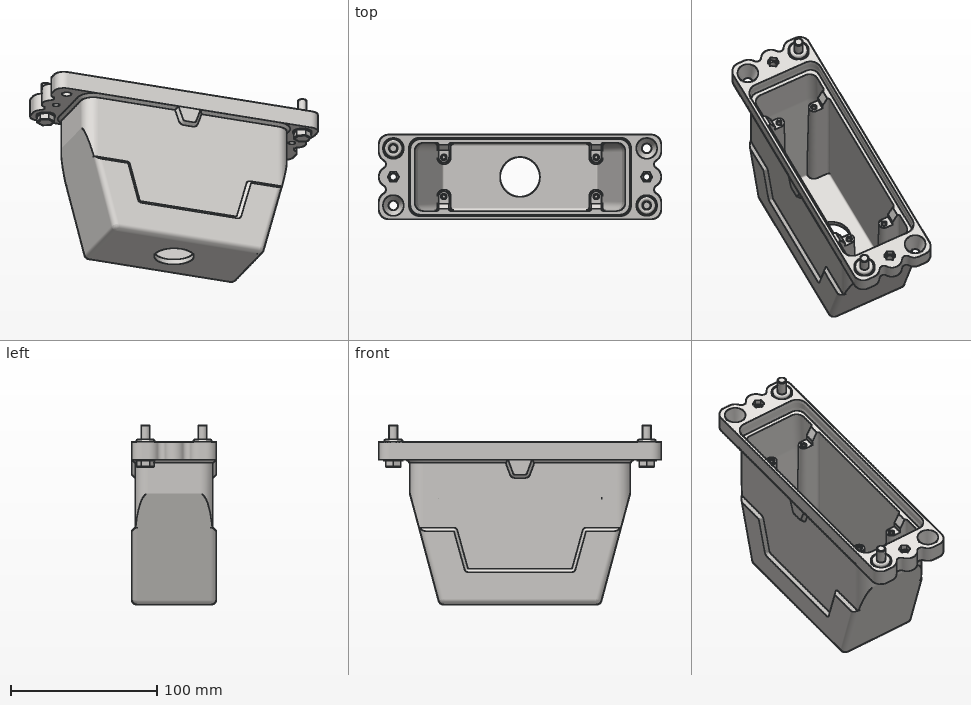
import math

import cadquery as cq

PLATE_LENGTH = 193.0
PLATE_WIDTH = 58.0
PLATE_THICK = 12.2
LOBE_RADIUS = 7.0
CORNER_LOBE_Y = 17.3
LOBE_TRIM_Y = 6.0

HOLE_X = 86.5
HOLE_Y = 19.5
CONE_DIAMETER = 14.2
SCREW_HOLE_DIAMETER = 6.4
NUT_ACROSS_CORNERS = 7.8
NUT_POCKET_DEPTH = 4.0
GUIDE_HOLE_DIAMETER = 4.6

STUD_DIAMETER = 6.0
STUD_TOP = 11.5
STUD_CHAMFER = 0.5
COLLAR_DIAMETER = 12.8
COLLAR_INNER_DIAMETER = 5.8
COLLAR_GROOVE_DEPTH = 1.0
LOWER_COLLAR_HEIGHT = 0.5
HEAD_ACROSS_FLATS = 10.4
HEAD_BOTTOM = -17.2
HEAD_CHAMFER = 0.5

BODY_HALF_LENGTH = 75.3
BODY_HALF_WIDTH = 26.6
BODY_CORNER_RADIUS = 9.0
BODY_BOTTOM = -111.2
END_SLOPE = math.tan(math.radians(15))
END_SLOPE_TOP = -35.2
BODY_EDGE_RADIUS = 4.0
FLARE = 2.2

BAND_HEIGHT = PLATE_WIDTH / 2 - BODY_HALF_WIDTH
BAND_TOP = -58.5
BAND_NOTCH_BOTTOM = -86.6
BAND_NOTCH_TOP_HALF = 43.3
BAND_NOTCH_BOTTOM_HALF = 35.5
BAND_CREST_RADIUS = 2.6
BAND_NOTCH_RADIUS = 0.6
BEVEL_ANGLE = 45

TAB_HEIGHT = 2.3
TAB_BOTTOM = -24.7
TAB_SIDE_SLOPE = math.tan(math.radians(20))
TAB_BOTTOM_HALF = 6.0
TAB_CORNER_RADIUS = 4.0

RECESS_HALF_LENGTH = 75.9
RECESS_HALF_WIDTH = 26.8
RECESS_CORNER_RADIUS = 7.5
RECESS_LEAN = 0.55
RECESS_BAND_HEIGHT = 2.5
LEDGE_Z = -9.5

FLOOR_Z = -107.5
CAVITY_TOP_HALF_LENGTH = 72.0
CAVITY_KINK_HALF_LENGTH = 69.8
CAVITY_KINK_Z = -39.5
CAVITY_FLOOR_HALF_LENGTH = 52.8
CAVITY_TOP_HALF_WIDTH = 23.3
CAVITY_FLOOR_HALF_WIDTH = 22.5
CAVITY_CORNER_RADIUS = 6.0
CAVITY_KINK_RADIUS = 10.0
KINK_EDGE_MARGIN = 1.0
CAVITY_FLOOR_RADIUS = 1.3
CABLE_HOLE_DIAMETER = 27.0

POST_X = 52.0
POST_Y = 13.4
POST_TOP = -19.5
POST_TOP_RADIUS = 3.4
POST_FOOT_RADIUS = 4.8
POST_WALL_RADIUS = 1.6
RAMP_FOOT_Y = 18.3
RAMP_FOOT_Z = -16.0
RAMP_TOP_Y = 21.9
POST_HOLE_DIAMETER = 2.6
POST_HOLE_MOUTH = 4.0
POST_HOLE_DEPTH = 12.0

HEX_SIDES = 6
SIDES = (1, -1)


def rounded_block(half_length, half_width, radius, top, bottom):
    return (
        cq.Workplane("XY").workplane(offset=bottom)
        .rect(2 * half_length, 2 * half_width).extrude(top - bottom)
        .edges("|Z").fillet(radius)
    )


def tapered_block(half_length, half_width, radius, top, depth, angle):
    """Rounded block that shrinks downwards."""
    sketch = cq.Sketch().rect(2 * half_length, 2 * half_width).vertices().fillet(radius)
    return (
        cq.Workplane("XY", origin=(0, 0, top)).placeSketch(sketch)
        .extrude(-depth, taper=angle)
    )


def cylinder(x, y, bottom, top, diameter):
    return cq.Workplane("XY", origin=(x, y, bottom)).circle(diameter / 2).extrude(top - bottom)


def cone(x, y, top, depth, top_diameter, bottom_diameter):
    solid = cq.Solid.makeCone(bottom_diameter / 2, top_diameter / 2, depth, cq.Vector(x, y, top - depth))
    return cq.Workplane(obj=solid)


def side_profile(points, half_width):
    """Prism of an XZ outline, centred on Y = 0."""
    return cq.Workplane("XZ").polyline(points).close().extrude(half_width, both=True)


def mirrored_outline(right_points):
    """Closed outline made of right-hand points and their mirror images."""
    return right_points + [(-u, v) for u, v in reversed(right_points)]


def make_plate():
    half_length = PLATE_LENGTH / 2
    half_width = PLATE_WIDTH / 2
    plate = rounded_block(half_length, half_width, LOBE_RADIUS, 0, -PLATE_THICK)

    lobe_x = half_length - LOBE_RADIUS
    notch_y = CORNER_LOBE_Y / 2
    trim_dx = math.sqrt(LOBE_RADIUS ** 2 - LOBE_TRIM_Y ** 2)
    stretch = notch_y / LOBE_TRIM_Y
    notch_x = lobe_x + trim_dx * stretch
    notch_radius = LOBE_RADIUS * (stretch - 1)
    corner_trim_y = CORNER_LOBE_Y - LOBE_TRIM_Y
    trim_x = lobe_x + trim_dx
    half_angle = math.asin(LOBE_TRIM_Y / LOBE_RADIUS) / 2
    lobe_mid_x = lobe_x + LOBE_RADIUS * math.cos(half_angle)
    lobe_mid_y = LOBE_RADIUS * math.sin(half_angle)
    notch = (
        cq.Workplane("XY")
        .moveTo(half_length, 0)
        .threePointArc((lobe_mid_x, lobe_mid_y), (trim_x, LOBE_TRIM_Y))
        .threePointArc((notch_x - notch_radius, notch_y), (trim_x, corner_trim_y))
        .threePointArc((lobe_mid_x, CORNER_LOBE_Y - lobe_mid_y), (half_length, CORNER_LOBE_Y))
        .close().extrude(-PLATE_THICK)
    )
    for upper_notch in (notch, notch.mirror("XZ")):
        plate = plate.cut(upper_notch).cut(upper_notch.mirror("YZ"))
    return plate


def end_half_length(z):
    return BODY_HALF_LENGTH - (END_SLOPE_TOP - z) * END_SLOPE


def make_upper_body():
    outline = mirrored_outline([
        (BODY_HALF_LENGTH, 0),
        (BODY_HALF_LENGTH, END_SLOPE_TOP),
        (end_half_length(BAND_TOP), BAND_TOP),
    ])
    block = rounded_block(
        BODY_HALF_LENGTH, BODY_HALF_WIDTH, BODY_CORNER_RADIUS, -PLATE_THICK, BAND_TOP
    )
    flare = tapered_block(
        BODY_HALF_LENGTH + FLARE, BODY_HALF_WIDTH + FLARE, BODY_CORNER_RADIUS + FLARE,
        -PLATE_THICK, FLARE, BEVEL_ANGLE
    )
    return block.intersect(side_profile(outline, BODY_HALF_WIDTH)).union(flare)


def make_lower_body():
    outline = mirrored_outline([
        (end_half_length(END_SLOPE_TOP), END_SLOPE_TOP),
        (end_half_length(BODY_BOTTOM), BODY_BOTTOM),
    ])
    lower = (
        side_profile(outline, PLATE_WIDTH / 2)
        .edges("not(|Y or #Z)").fillet(BODY_EDGE_RADIUS)
        .faces("<Z").edges().fillet(BODY_EDGE_RADIUS)
    )
    outer = PLATE_LENGTH / 2
    clearing_outline = mirrored_outline([
        (outer, 0),
        (outer, BAND_TOP),
        (BAND_NOTCH_TOP_HALF, BAND_TOP),
        (BAND_NOTCH_BOTTOM_HALF, BAND_NOTCH_BOTTOM),
    ])
    sketch = cq.Sketch().polygon(clearing_outline + clearing_outline[:1])
    corner_radii = (
        (BAND_NOTCH_TOP_HALF, BAND_TOP, BAND_CREST_RADIUS),
        (BAND_NOTCH_BOTTOM_HALF, BAND_NOTCH_BOTTOM, BAND_NOTCH_RADIUS),
    )
    for x, z, radius in corner_radii:
        for side in SIDES:
            corner = cq.selectors.NearestToPointSelector((side * x, z, 0))
            sketch = sketch.reset().vertices(corner).fillet(radius)
    clearing = (
        cq.Workplane("XZ", origin=(0, -BODY_HALF_WIDTH, 0))
        .placeSketch(sketch.reset()).extrude(BAND_HEIGHT, taper=-BEVEL_ANGLE)
    )
    above_band = side_profile(mirrored_outline([(outer, 0), (outer, BAND_TOP)]), BODY_HALF_WIDTH)
    return lower.cut(clearing).cut(clearing.mirror("XZ")).cut(above_band)


def make_tab():
    top = -PLATE_THICK / 2
    top_half = TAB_BOTTOM_HALF + (top - TAB_BOTTOM) * TAB_SIDE_SLOPE
    outline = mirrored_outline([(top_half, top), (TAB_BOTTOM_HALF, TAB_BOTTOM)])
    sketch = cq.Sketch().polygon(outline + outline[:1]).vertices("<Y").fillet(TAB_CORNER_RADIUS)
    return (
        cq.Workplane("XZ", origin=(0, -BODY_HALF_WIDTH, 0))
        .placeSketch(sketch).extrude(TAB_HEIGHT, taper=BEVEL_ANGLE)
    )


def make_recess():
    """Mouth recess whose wall leans inwards, runs straight, then leans inwards again."""
    lean = math.degrees(math.atan2(RECESS_LEAN, RECESS_BAND_HEIGHT))
    band_bottom = -RECESS_BAND_HEIGHT
    foot_top = LEDGE_Z + RECESS_BAND_HEIGHT
    half_length = RECESS_HALF_LENGTH - RECESS_LEAN
    half_width = RECESS_HALF_WIDTH - RECESS_LEAN
    radius = RECESS_CORNER_RADIUS - RECESS_LEAN
    mouth = tapered_block(
        RECESS_HALF_LENGTH, RECESS_HALF_WIDTH, RECESS_CORNER_RADIUS, 0, RECESS_BAND_HEIGHT, lean
    )
    middle = rounded_block(half_length, half_width, radius, band_bottom, foot_top)
    foot = tapered_block(half_length, half_width, radius, foot_top, RECESS_BAND_HEIGHT, lean)
    return mouth.union(middle).union(foot)


def make_cavity():
    length_outline = mirrored_outline([
        (CAVITY_TOP_HALF_LENGTH, LEDGE_Z),
        (CAVITY_KINK_HALF_LENGTH, CAVITY_KINK_Z),
        (CAVITY_FLOOR_HALF_LENGTH, FLOOR_Z),
    ])
    width_outline = mirrored_outline([
        (CAVITY_TOP_HALF_WIDTH, LEDGE_Z),
        (CAVITY_FLOOR_HALF_WIDTH, FLOOR_Z),
    ])
    width_prism = (
        cq.Workplane("YZ").polyline(width_outline).close()
        .extrude(PLATE_LENGTH / 2, both=True)
    )
    cavity = side_profile(length_outline, CAVITY_TOP_HALF_WIDTH).intersect(width_prism)
    kink_edges = cq.selectors.BoxSelector(
        (-PLATE_LENGTH, -PLATE_WIDTH, CAVITY_KINK_Z - KINK_EDGE_MARGIN),
        (PLATE_LENGTH, PLATE_WIDTH, CAVITY_KINK_Z + KINK_EDGE_MARGIN),
    )
    cavity = cavity.edges(kink_edges).fillet(CAVITY_KINK_RADIUS)
    cavity = cavity.edges("not(#Z or |Y)").fillet(CAVITY_CORNER_RADIUS)
    return cavity.faces("<Z").edges().fillet(CAVITY_FLOOR_RADIUS)


def post_section(workplane, radius, wall_y):
    """Outline of a round-nosed post whose flanks flare into the wall at wall_y."""
    flare_x = radius + POST_WALL_RADIUS
    flare_y = wall_y - POST_WALL_RADIUS
    sag = POST_WALL_RADIUS * (1 - math.sqrt(0.5))
    return (
        workplane.moveTo(flare_x, BODY_HALF_WIDTH)
        .lineTo(flare_x, wall_y)
        .threePointArc((radius + sag, wall_y - sag), (radius, flare_y))
        .lineTo(radius, POST_Y)
        .threePointArc((0, POST_Y - radius), (-radius, POST_Y))
        .lineTo(-radius, flare_y)
        .threePointArc((-radius - sag, wall_y - sag), (-flare_x, wall_y))
        .lineTo(-flare_x, BODY_HALF_WIDTH)
        .close()
    )


def make_post():
    """Insert post at +X, +Y, joined to the long wall by a ramped web."""
    foot = post_section(
        cq.Workplane("XY", origin=(POST_X, 0, FLOOR_Z)), POST_FOOT_RADIUS, CAVITY_FLOOR_HALF_WIDTH
    )
    top_plane = foot.workplane(offset=LEDGE_Z - FLOOR_Z)
    post = post_section(top_plane, POST_TOP_RADIUS, CAVITY_TOP_HALF_WIDTH).loft(ruled=True)
    clearing = (
        cq.Workplane("YZ", origin=(POST_X, 0, 0))
        .moveTo(0, POST_TOP)
        .lineTo(RAMP_FOOT_Y, POST_TOP)
        .lineTo(RAMP_FOOT_Y, RAMP_FOOT_Z)
        .lineTo(RAMP_TOP_Y, LEDGE_Z)
        .lineTo(0, LEDGE_Z)
        .close().extrude(2 * POST_TOP_RADIUS, both=True)
    )
    post = post.cut(clearing)
    post = post.cut(cylinder(POST_X, POST_Y, POST_TOP - POST_HOLE_DEPTH, POST_TOP, POST_HOLE_DIAMETER))
    mouth_depth = (POST_HOLE_MOUTH - POST_HOLE_DIAMETER) / 2
    return post.cut(cone(POST_X, POST_Y, POST_TOP, mouth_depth, POST_HOLE_MOUTH, POST_HOLE_DIAMETER))


def cut_plate_holes(part):
    for side in SIDES:
        x = side * HOLE_X
        part = part.cut(cone(x, side * HOLE_Y, 0, PLATE_THICK, CONE_DIAMETER, SCREW_HOLE_DIAMETER))
        part = part.cut(cylinder(x, 0, -PLATE_THICK, 0, GUIDE_HOLE_DIAMETER))
        nut_pocket = cq.Workplane("XY", origin=(x, 0, 0)).polygon(HEX_SIDES, NUT_ACROSS_CORNERS)
        part = part.cut(nut_pocket.extrude(-NUT_POCKET_DEPTH))
    return part


def add_screw(part, x, y):
    groove = cylinder(x, y, -COLLAR_GROOVE_DEPTH, 0, CONE_DIAMETER)
    ring_radius = (COLLAR_DIAMETER + COLLAR_INNER_DIAMETER) / 4
    tube_radius = (COLLAR_DIAMETER - COLLAR_INNER_DIAMETER) / 4
    collar = cq.Workplane(obj=cq.Solid.makeTorus(ring_radius, tube_radius, cq.Vector(x, y, 0)))
    stud = cylinder(x, y, -PLATE_THICK / 2, STUD_TOP, STUD_DIAMETER).faces(">Z").chamfer(STUD_CHAMFER)
    lower_collar = cylinder(x, y, -PLATE_THICK - LOWER_COLLAR_HEIGHT, -PLATE_THICK, COLLAR_DIAMETER)
    across_corners = HEAD_ACROSS_FLATS / math.cos(math.pi / HEX_SIDES)
    head = (
        cq.Workplane("XY", origin=(x, y, HEAD_BOTTOM))
        .transformed(rotate=(0, 0, 90)).polygon(HEX_SIDES, across_corners)
        .extrude(-PLATE_THICK - HEAD_BOTTOM)
        .faces("<Z").chamfer(HEAD_CHAMFER)
    )
    return part.cut(groove).union(collar).union(stud).union(lower_collar).union(head)


def make_hood():
    tab = make_tab()
    hood = make_plate().union(make_upper_body()).union(make_lower_body())
    hood = hood.union(tab).union(tab.mirror("XZ"))

    post = make_post()
    posts = post.union(post.mirror("XZ"))
    posts = posts.union(posts.mirror("YZ"))
    cavity = make_cavity()
    hood = hood.cut(make_recess()).cut(cavity.cut(posts))
    hood = hood.cut(cylinder(0, 0, BODY_BOTTOM, FLOOR_Z, CABLE_HOLE_DIAMETER))

    hood = cut_plate_holes(hood)
    for side in SIDES:
        hood = add_screw(hood, side * HOLE_X, -side * HOLE_Y)
    return hood


result = make_hood()